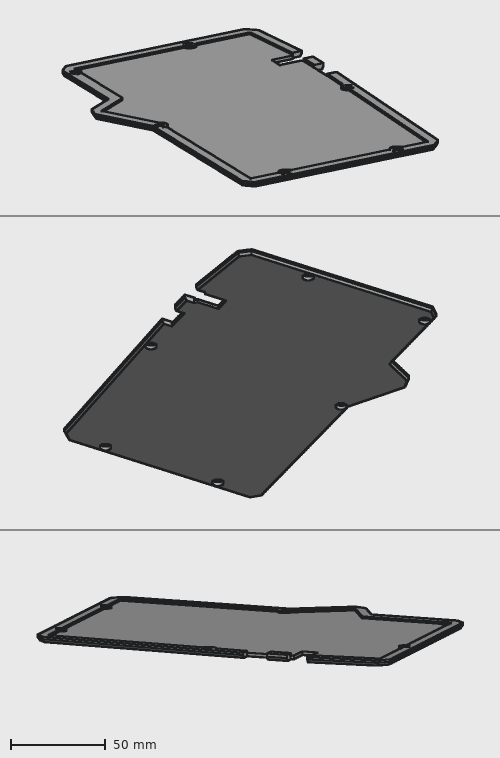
import cadquery as cq
import math

width = 199.0
top_y = 124.5
rim_height = 3.0
corner_chamfer = 5.0
bevel_height = 1.75
bevel_inset = 1.0

top_flat_left = 45.5
top_flat_right = 80.5
left_slope = 0.109
right_slope = 0.0387
top_left_y = top_y - left_slope * top_flat_left
top_right_y = top_y - right_slope * (width - top_flat_right)

spur_left = 53.5
spur_width = 46.0
spur_tilt = math.radians(30)
spur_right = spur_left + spur_width
spur_short_side = spur_width * math.sin(spur_tilt)
spur_tip = (
    spur_left + spur_short_side * math.sin(spur_tilt),
    -spur_short_side * math.cos(spur_tilt),
)

rim_width = 5.75
lower_left_rim_width = 7.1
recess_depth = 1.0
floor_height = rim_height - recess_depth

screw_diameter = 3.3
head_diameter = 6.0
head_depth = 2.5
boss_radius = 4.0
side_hole_inset = 4.5
lower_hole_y = 4.2
middle_hole_x = 100.8
screw_points = [
    (10.1, lower_hole_y),
    (middle_hole_x, lower_hole_y),
    (middle_hole_x, 119.4),
    (side_hole_inset, 77.8),
    (width - side_hole_inset, 26.8),
    (width - side_hole_inset, 94.8),
]

rim_gap_left = 43.3
tab_left = 54.7
tab_right = 65.8
rim_gap_right = 79.4
tab_height = 3.5
slot_left = 44.7
slot_right = 53.2
slot_bottom = 105.1
slot_flare_start = 117.8
slot_flare_end = 119.0
rim_inner_y = top_y - rim_width


def box(left, right, front, back, bottom, top):
    size = (right - left, back - front, top - bottom)
    return cq.Workplane("XY").box(*size, centered=False).translate((left, front, bottom))


def screw_cylinders(radius, height):
    return cq.Workplane("XY").pushPoints(screw_points).circle(radius).extrude(height)


def sharp_corners(lower_left_y=0.0):
    """Outline before chamfering, with the lower left edge at the given height."""
    return [
        (0, lower_left_y),
        (spur_left - lower_left_y * math.tan(spur_tilt), lower_left_y),
        spur_tip,
        (spur_right, 0),
        (width, 0),
        (width, top_right_y),
        (top_flat_right, top_y),
        (top_flat_left, top_y),
        (0, top_left_y),
    ]


def chamfer_ends(corner, neighbours):
    """Return the two ends of the chamfer that replaces a corner."""
    ends = []
    for neighbour in neighbours:
        share = corner_chamfer / math.dist(corner, neighbour)
        ends.append(tuple(c + share * (n - c) for c, n in zip(corner, neighbour)))
    return ends


def outline_points():
    corners = sharp_corners()
    chamfered = [(0, 0), spur_tip, (width, 0), (width, top_right_y), (0, top_left_y)]
    points = []
    for i, corner in enumerate(corners):
        if corner in chamfered:
            neighbours = (corners[i - 1], corners[(i + 1) % len(corners)])
            points += chamfer_ends(corner, neighbours)
        else:
            points.append(corner)
    return points


def make_plate():
    plate = cq.Workplane("XY").polyline(outline_points()).close().extrude(rim_height)
    return plate.faces("<Z").chamfer(bevel_height, bevel_inset)


def make_recess():
    recess = (
        cq.Workplane("XY", origin=(0, 0, floor_height))
        .polyline(sharp_corners(lower_left_rim_width - rim_width))
        .close()
        .offset2D(-rim_width, "intersection")
        .extrude(recess_depth)
    )
    return recess.cut(screw_cylinders(boss_radius, rim_height))


def make_screw_holes():
    shanks = screw_cylinders(screw_diameter / 2, rim_height)
    heads = screw_cylinders(head_diameter / 2, head_depth)
    return shanks.union(heads)


def make_slot():
    """Slot through the floor that flares out to the wider gap in the rim."""
    points = [
        (slot_left, slot_bottom),
        (slot_right, slot_bottom),
        (slot_right, slot_flare_start),
        (tab_left, slot_flare_end),
        (tab_left, top_y),
        (rim_gap_left, top_y),
        (rim_gap_left, slot_flare_end),
        (slot_left, slot_flare_start),
    ]
    return cq.Workplane("XY").polyline(points).close().extrude(rim_height)


def make_rim_gap():
    return box(tab_right, rim_gap_right, rim_inner_y, top_y, 0, rim_height)


def make_tab():
    return box(tab_left, tab_right, rim_inner_y, top_y, floor_height, tab_height)


result = (
    make_plate()
    .cut(make_recess())
    .cut(make_screw_holes())
    .cut(make_slot())
    .cut(make_rim_gap())
    .union(make_tab())
)